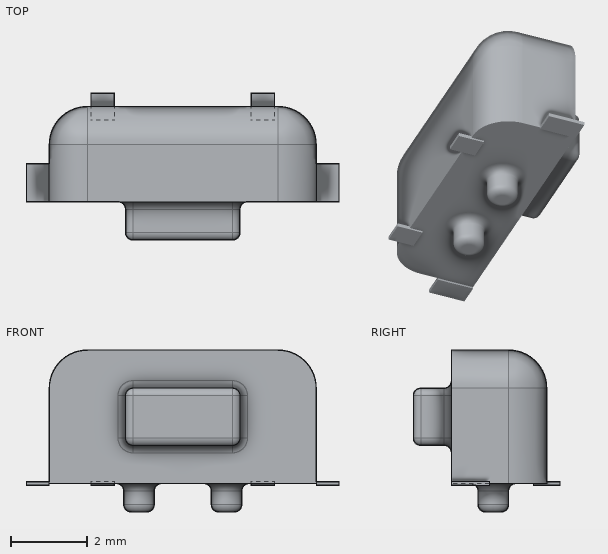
import cadquery as cq

body_width = 7.0
body_depth = 2.5
body_height = 3.5
body_radius = 1.0

button_width = 3.0
button_height = 1.5
button_reach = 1.0
edge_radius = 0.2

pin_diameter = 0.8
pin_length = 0.75
pin_offset_x = 1.15
pin_y = 1.1

tab_thickness = 0.1
side_tab_span = 8.2
side_tab_depth = 1.0
rear_tab_width = 0.615
rear_tab_length = 0.705
rear_tab_reach = 0.35
rear_tab_offset_x = 2.1

overlap = 0.08


def make_housing():
    """Block rounded on its upper side edges and around its rear face."""
    block = cq.Workplane("XY").box(
        body_width, body_depth, body_height, centered=(True, False, False)
    )
    upper_side_edges = block.edges("|Y and >Z")
    rear_edges = block.faces(">Y").edges("not <Z")
    return block.newObject(upper_side_edges.vals() + rear_edges.vals()).fillet(body_radius)


def make_button():
    """Button with its outer face and side edges rounded."""
    button = (
        cq.Workplane("XY")
        .box(button_width, button_reach + overlap, button_height, centered=(True, False, True))
        .translate((0, -button_reach, body_height / 2))
    )
    return button.edges("|Y or <Y").fillet(edge_radius)


def make_pin(x):
    """Vertical pin with a rounded lower end."""
    pin = cq.Workplane("XY").circle(pin_diameter / 2).extrude(pin_length + overlap)
    return pin.faces("<Z").edges().fillet(edge_radius).translate((x, pin_y, -pin_length))


def make_side_tab(side):
    """Flat tab reaching outward from one side wall."""
    length = (side_tab_span - body_width) / 2
    tab = cq.Workplane("XY").box(length, side_tab_depth, tab_thickness, centered=(True, False, True))
    return tab.translate((side * (body_width + length) / 2, 0, 0))


def make_rear_tab(side):
    """Flat tab reaching out behind the housing from beneath it."""
    tab = cq.Workplane("XY").box(
        rear_tab_width, rear_tab_length, tab_thickness, centered=(True, False, True)
    )
    start_y = body_depth + rear_tab_reach - rear_tab_length
    return tab.translate((side * rear_tab_offset_x, start_y, 0))


def fillet_roots(solid, low, high):
    """Fillet the root edges whose centres lie between two box corners."""
    return solid.edges(cq.selectors.BoxSelector(low, high)).fillet(edge_radius)


result = make_housing().union(make_button())
button_zone_x = body_width / 2 - body_radius
root_margin = 0.01
result = fillet_roots(
    result,
    (-button_zone_x, -root_margin, body_radius),
    (button_zone_x, root_margin, body_height - body_radius),
)

for side in (-1, 1):
    pin_x = side * pin_offset_x
    result = result.union(make_pin(pin_x))
    result = fillet_roots(
        result,
        (pin_x - pin_diameter, pin_y - pin_diameter, -root_margin),
        (pin_x + pin_diameter, pin_y + pin_diameter, root_margin),
    )

for side in (-1, 1):
    result = result.union(make_side_tab(side)).union(make_rear_tab(side))